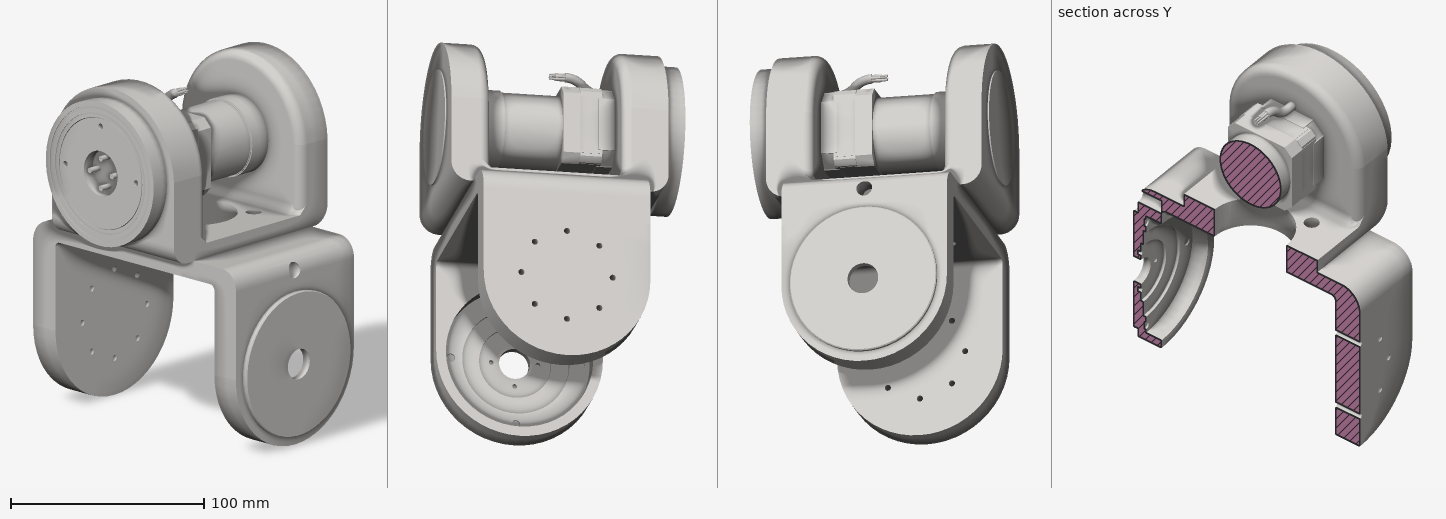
import cadquery as cq
import math

seat = 1.9
quarters = 4

plate_radius = 44.0
lower_left = -72.0
lower_left_inner = -55.9
lower_right_inner = 58.5
lower_right = 74.0
bridge_bottom = 92.0
bridge_top = 102.1
left_bend_radius = 12.5
right_bend_radius = 10.0
lower_inner_radius = 2.8
lower_axis_z = plate_radius

bolt_count = 8
bolt_circle_radius = 24.0
bolt_diameter = 3.2

pocket_radius = 38.8
pocket_floor = 68.8
ring_step = 1.7
outer_ring_radius = 28.2
inner_ring_diameter = 38.0
cover_radius = 39.0
cover_mid = 75.8
cover_face = 77.0
cover_rim_step = 0.2
cover_chamfer = 0.5
cover_bore_diameter = 16.3
cover_screw_circle_radius = 12.3
cover_screw_diameter = 2.5
pocket_screw_circle_radius = 34.3
pocket_screw_diameter = 4.5
pocket_screw_depth = 1.0
cable_hole_diameter = 8.3
cable_hole_z = 94.0

total_height = 189.5
upper_axis_z = total_height - plate_radius
upper_shoulder_z = 147.5
upper_front = -59.0
upper_front_inner = -34.9
upper_back_inner = 35.0
upper_back = 55.5
floor_top = 110.0
upper_bend_radius = 10.0
upper_inner_radius = 5.0

bridge_bore_diameter = 47.4
bridge_hole_diameter = 8.3
bridge_hole_offset = 22.5

boss_radius = 38.8
boss_face = -68.8
lip_radius = 36.0
seal_radius = 32.4
boss_step = 0.4
groove_radius = 30.0
rotor_radius = 29.5
groove_depth = 1.9
rotor_hole_count = 3
rotor_hole_circle_radius = 25.4
rotor_hole_diameter = 3.2
rotor_hole_depth = 3.8
socket_radius = 12.1
socket_depth = 6.6
pin_circle_radius = 8.0
pin_diameter = 2.8
pin_tip_hole_diameter = 0.8
pin_tip_hole_depth = 1.0
back_cap_radius = 30.0
back_cap_face = 56.3

gearhead_radius = 21.0
gearhead_end = 23.1
neck_radius = 20.5
neck_length = 0.5
motor_radius = 20.0
flange_start = -7.8
stack_start = -16.9
end_cap_start = -28.5
connector_start = -26.5
flange_half = 21.0
flange_chamfer = 4.7
stack_half = 20.5
stack_chamfer = 2.8
stack_land_width = 1.5
stack_land_step = 0.2
end_cap_half = 20.8
end_cap_chamfer = 7.2
connector_half_width = 14.0
mark_hole_diameter = 0.8
mark_hole_depth = 0.5
mark_hole_y = 20.7

cable_diameter = 5.0
cable_z = 169.0
cable_rise = 8.1
cable_turn = math.radians(48)
cable_bend_start = -31.0
wire_diameter = 1.5
wire_pitch = 1.3
wire_count = 6
wire_length = 5.1
strand_diameter = 0.8
strand_length = 3.2


def box_between(x0, x1, y0, y1, z0, z1):
    return cq.Workplane("XY").box(x1 - x0, y1 - y0, z1 - z0, centered=False).translate((x0, y0, z0))


def cylinder_x(radius, x0, x1, y=0.0, z=lower_axis_z):
    return cq.Workplane("YZ", origin=(x0, y, z)).circle(radius).extrude(x1 - x0)


def cylinder_y(radius, y0, y1, x=0.0, z=upper_axis_z):
    return cq.Workplane("XZ", origin=(x, y0, z)).circle(radius).extrude(y0 - y1)


def circle_points(radius, count):
    angles = [2 * math.pi * i / count for i in range(count)]
    return [(radius * math.cos(a), radius * math.sin(a)) for a in angles]


def lower_yoke():
    outer = box_between(lower_left, lower_right, -plate_radius, plate_radius, 0, bridge_top)
    outer = outer.edges("|Y and >Z and <X").fillet(left_bend_radius)
    outer = outer.edges("|Y and >Z and >X").fillet(right_bend_radius)
    gap = box_between(
        lower_left_inner, lower_right_inner, -plate_radius, plate_radius, 0, bridge_bottom
    )
    gap = gap.edges("|Y and >Z").fillet(lower_inner_radius)
    outline = (
        cq.Workplane("YZ", origin=(lower_left, 0, 0))
        .moveTo(-plate_radius, bridge_top)
        .lineTo(-plate_radius, lower_axis_z)
        .threePointArc((0, 0), (plate_radius, lower_axis_z))
        .lineTo(plate_radius, bridge_top)
        .close()
        .extrude(lower_right - lower_left)
    )
    return outer.cut(gap).intersect(outline)


def left_leg_bolt_holes():
    holes = cq.Workplane("XY")
    for y, z in circle_points(bolt_circle_radius, bolt_count):
        holes = holes.add(
            cylinder_x(bolt_diameter / 2, lower_left, lower_left_inner, y, lower_axis_z + z)
        )
    return holes.combine()


def cover_disc():
    base = cylinder_x(cover_radius - cover_rim_step, lower_right, cover_mid)
    rim = cylinder_x(cover_radius, cover_mid, cover_face).faces(">X").edges().chamfer(cover_chamfer)
    return base.union(rim)


def right_leg_cuts():
    outer_ring_floor = pocket_floor + ring_step
    inner_ring_floor = outer_ring_floor + ring_step
    cuts = cylinder_x(pocket_radius, lower_right_inner, pocket_floor)
    cuts = cuts.union(cylinder_x(outer_ring_radius, pocket_floor, outer_ring_floor))
    cuts = cuts.union(cylinder_x(inner_ring_diameter / 2, outer_ring_floor, inner_ring_floor))
    cuts = cuts.union(cylinder_x(cover_bore_diameter / 2, inner_ring_floor, cover_face))
    for y, z in circle_points(cover_screw_circle_radius, quarters):
        cuts = cuts.union(
            cylinder_x(cover_screw_diameter / 2, inner_ring_floor, lower_right, y, lower_axis_z + z)
        )
    for y, z in circle_points(pocket_screw_circle_radius, quarters):
        cuts = cuts.union(cylinder_x(
            pocket_screw_diameter / 2, pocket_floor, pocket_floor + pocket_screw_depth, y, lower_axis_z + z))
    cable_hole = cylinder_x(
        cable_hole_diameter / 2, lower_right_inner, lower_right, 0, cable_hole_z
    )
    return cuts.union(cable_hole)


def upper_yoke():
    outer = box_between(
        -plate_radius, plate_radius, upper_front, upper_back, bridge_top, total_height
    )
    outer = outer.edges("|X and <Z").fillet(upper_bend_radius)
    gap = box_between(
        -plate_radius, plate_radius, upper_front_inner, upper_back_inner, floor_top, total_height
    )
    outline = (
        cq.Workplane("XZ", origin=(0, upper_back, 0))
        .moveTo(-plate_radius, bridge_top)
        .lineTo(-plate_radius, upper_shoulder_z)
        .threePointArc((0, total_height), (plate_radius, upper_shoulder_z))
        .lineTo(plate_radius, bridge_top)
        .close()
        .extrude(upper_back - upper_front)
    )
    yoke = outer.cut(gap).intersect(outline)
    for direction, face_y in ((-1, upper_front_inner), (1, upper_back_inner)):
        leg_faces = yoke.faces("|Y")
        inner_face = leg_faces.faces(cq.selectors.NearestToPointSelector((0, face_y, upper_axis_z)))
        rim_edges = inner_face.edges("not(|X)").vals()
        yoke = yoke.newObject(rim_edges).fillet(upper_inner_radius)
    for direction, face_y in ((-1, upper_front_inner), (1, upper_back_inner)):
        yoke = yoke.union(floor_fillet(direction, face_y))
    return yoke


def floor_fillet(direction, face_y):
    """Fillet along the floor, leaning back at both ends to meet the rounded rim of the leg.

    direction is the sign of Y pointing from the inner face into the leg.
    """
    radius = upper_inner_radius
    flat_half = plate_radius - radius
    foot_y = face_y - direction * radius
    set_back_y = face_y + direction * radius
    root_y = set_back_y + direction * radius
    fillet_top = floor_top + radius
    bulge = radius * (1 - math.sqrt(0.5))
    arc_middle = (face_y - direction * bulge, floor_top + bulge)

    def fillet_profile(x):
        start = cq.Workplane("YZ", origin=(x, 0, 0)).moveTo(root_y, floor_top).lineTo(foot_y, floor_top)
        curved = start.threePointArc(arc_middle, (face_y, fillet_top))
        return curved.lineTo(root_y, fillet_top).close()

    end_profile = cq.Workplane("YZ", origin=(plate_radius, 0, 0)).polyline(
        [(root_y, floor_top), (face_y, floor_top), (set_back_y, fillet_top), (root_y, fillet_top)]
    ).close()
    strip = fillet_profile(-flat_half).extrude(2 * flat_half)
    end = cq.Workplane(
        cq.Solid.makeLoft([fillet_profile(flat_half).wire().val(), end_profile.wire().val()], True)
    )
    return strip.union(end).union(end.mirror("YZ"))


def bridge_openings():
    depth = floor_top - bridge_bottom
    plane = cq.Workplane("XY", origin=(0, 0, bridge_bottom))
    bore = plane.circle(bridge_bore_diameter / 2).extrude(depth)
    corners = plane.rect(2 * bridge_hole_offset, 2 * bridge_hole_offset, forConstruction=True)
    return bore.union(corners.vertices().circle(bridge_hole_diameter / 2).extrude(depth))


def output_boss():
    lip_floor = boss_face + boss_step
    rotor_face = lip_floor + boss_step
    socket_floor = rotor_face + socket_depth
    boss = cylinder_y(boss_radius, boss_face, upper_front)
    boss = boss.cut(cylinder_y(lip_radius, boss_face, lip_floor))
    boss = boss.cut(cylinder_y(seal_radius, lip_floor, rotor_face))
    groove = cylinder_y(groove_radius, rotor_face, rotor_face + groove_depth)
    groove = groove.cut(cylinder_y(rotor_radius, rotor_face, rotor_face + groove_depth))
    boss = boss.cut(groove)
    for x, z in circle_points(rotor_hole_circle_radius, quarters)[:rotor_hole_count]:
        boss = boss.cut(cylinder_y(
            rotor_hole_diameter / 2, rotor_face, rotor_face + rotor_hole_depth, x, upper_axis_z + z))
    boss = boss.cut(cylinder_y(socket_radius, rotor_face, socket_floor))
    for x, z in circle_points(pin_circle_radius, quarters):
        pin = cylinder_y(pin_diameter / 2, rotor_face, socket_floor + seat, x, upper_axis_z + z)
        tip_hole = cylinder_y(
            pin_tip_hole_diameter / 2, rotor_face, rotor_face + pin_tip_hole_depth, x, upper_axis_z + z
        )
        boss = boss.union(pin).cut(tip_hole)
    return boss


def motor_block(points, y0, y1):
    return cq.Workplane("XZ", origin=(0, y1, upper_axis_z)).polyline(points).close().extrude(y1 - y0)


def four_corners(corner):
    """Turn the corner points of one quadrant about the axis to close a square outline."""
    points = []
    for quarter in range(quarters):
        for x, z in corner:
            for _ in range(quarter):
                x, z = -z, x
            points.append((x, z))
    return points


def chamfered_square(half, chamfer):
    return four_corners([(half, half - chamfer), (half - chamfer, half)])


def motor():
    leg_face = upper_front_inner - seat
    flat = stack_half + stack_land_step
    land_outer = stack_half - stack_chamfer
    land_inner = land_outer - stack_land_width
    stack_outline = four_corners([
        (flat, land_inner),
        (stack_half, land_inner),
        (stack_half, land_outer),
        (land_outer, stack_half),
        (land_inner, stack_half),
        (land_inner, flat),
    ])
    neck_end = gearhead_end - neck_length
    body = cylinder_y(gearhead_radius, gearhead_end, upper_back_inner + seat)
    body = body.union(cylinder_y(neck_radius, neck_end, gearhead_end))
    body = body.union(cylinder_y(motor_radius, flange_start, neck_end))
    body = body.union(
        motor_block(chamfered_square(flange_half, flange_chamfer), stack_start, flange_start))
    body = body.union(motor_block(stack_outline, end_cap_start, stack_start))
    body = body.union(
        motor_block(chamfered_square(end_cap_half, end_cap_chamfer), leg_face, end_cap_start))
    for half_x, half_z in ((flange_half, connector_half_width), (connector_half_width, flange_half)):
        connector = box_between(
            -half_x, half_x, leg_face, connector_start, upper_axis_z - half_z, upper_axis_z + half_z)
        body = body.union(connector)
    mark_hole = (
        cq.Workplane("XY", origin=(0, mark_hole_y, upper_axis_z + motor_radius))
        .circle(mark_hole_diameter / 2)
        .extrude(-mark_hole_depth)
    )
    return body.cut(mark_hole)


def cable():
    bend_radius = cable_rise / (2 * (1 - math.cos(cable_turn)))
    half_run = bend_radius * math.sin(cable_turn)
    middle = (cable_bend_start + half_run, cable_z + cable_rise / 2)
    end = (cable_bend_start + 2 * half_run, cable_z + cable_rise)
    start_y = upper_front_inner - seat - upper_inner_radius
    path = (
        cq.Workplane("YZ")
        .moveTo(start_y, cable_z)
        .lineTo(cable_bend_start, cable_z)
        .tangentArcPoint(middle, relative=False)
        .tangentArcPoint(end, relative=False)
    )
    sheath = cq.Workplane("XZ", origin=(0, start_y, cable_z)).circle(cable_diameter / 2).sweep(path)
    end_y, end_z = end
    wire_end = end_y + wire_length
    for x, z in [(0, 0)] + circle_points(wire_pitch, wire_count):
        sheath = sheath.union(cylinder_y(wire_diameter / 2, end_y - seat / 2, wire_end, x, end_z + z))
        sheath = sheath.union(
            cylinder_y(strand_diameter / 2, wire_end, wire_end + strand_length, x, end_z + z))
    return sheath


result = lower_yoke().union(cover_disc()).cut(left_leg_bolt_holes()).cut(right_leg_cuts())
result = result.union(upper_yoke()).cut(bridge_openings())
result = result.union(output_boss())
result = result.union(cylinder_y(back_cap_radius, upper_back, back_cap_face))
result = result.union(motor()).union(cable())